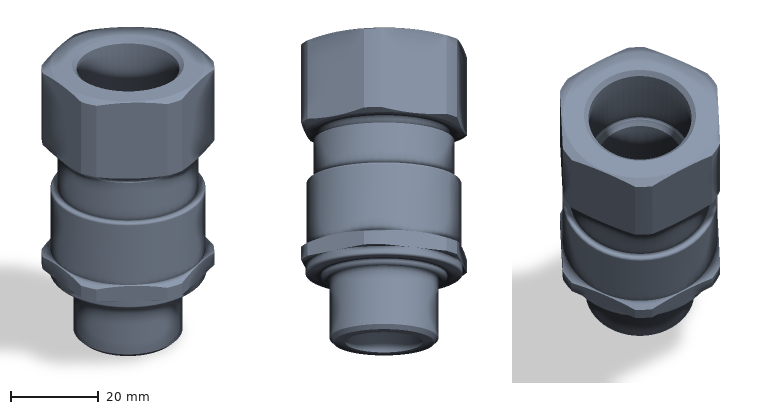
import cadquery as cq
import math

total_height = 69.75
hex_across_flats = 36.0
hex_corner_diameter = 39.5

flange_bottom = 16.0
hex_bottom = 18.0
hex_top = 22.0
barrel_top = 37.95
collar_top = 47.7
nut_bottom = 49.7

spigot_diameter = 25.0
spigot_chamfer = 1.0
flange_fillet = 0.5
barrel_diameter = 35.5
barrel_fillet = 0.5
collar_diameter = 32.2
neck_diameter = 30.2
hex_chamfer_drop = 0.85

body_bore_diameter = 17.65
bore_taper_diameter = 20.1
bore_mouth_diameter = 22.2

nut_face_diameter = 35.4
nut_chamfer_drop = 0.7
nut_bore_diameter = 23.6
nut_mouth_diameter = 25.6
neck_engagement = 3.0

ring_section_diameter = 2.0
ring_protrusion = 1.3

body_top = nut_bottom + neck_engagement
mouth_chamfer = (bore_mouth_diameter - bore_taper_diameter) / 2
nut_mouth_chamfer = (nut_mouth_diameter - nut_bore_diameter) / 2
ring_bottom = flange_bottom - ring_protrusion
ring_centre_radius = (spigot_diameter + ring_section_diameter) / 2
seat_diameter = spigot_diameter + 2 * ring_section_diameter
seat_depth = ring_section_diameter - ring_protrusion


def cylinder(diameter, bottom, top):
    """Upright cylinder on the common axis."""
    return cq.Workplane("XY").workplane(offset=bottom).circle(diameter / 2).extrude(top - bottom)


def revolved(profile):
    """Turned solid from a closed list of (radius, height) points."""
    return cq.Workplane("XZ").polyline(profile).close().revolve(360, (0, 0, 0), (0, 1, 0))


def hexagon(bottom, top):
    """Hexagonal prism with two flats facing +X and -X."""
    corner_to_corner = hex_across_flats / math.cos(math.pi / 6)
    return (
        cq.Workplane("XY")
        .workplane(offset=bottom)
        .transformed(rotate=(0, 0, 30))
        .polygon(6, corner_to_corner)
        .extrude(top - bottom)
    )


def make_nut():
    face_radius = nut_face_diameter / 2
    corner_radius = hex_corner_diameter / 2
    turned_blank = revolved([
        (0, nut_bottom),
        (face_radius, nut_bottom),
        (corner_radius, nut_bottom + nut_chamfer_drop),
        (corner_radius, total_height - nut_chamfer_drop),
        (face_radius, total_height),
        (0, total_height),
    ])
    bore = revolved([
        (0, nut_bottom),
        (nut_bore_diameter / 2, nut_bottom),
        (nut_bore_diameter / 2, total_height - nut_mouth_chamfer),
        (nut_mouth_diameter / 2, total_height),
        (0, total_height),
    ])
    neck_socket = cylinder(neck_diameter, nut_bottom, body_top)
    return hexagon(nut_bottom, total_height).intersect(turned_blank).cut(bore).cut(neck_socket)


def make_hex_flange():
    corner_radius = hex_corner_diameter / 2
    turned_blank = revolved([
        (0, hex_bottom),
        (corner_radius, hex_bottom),
        (corner_radius, hex_top - hex_chamfer_drop),
        (barrel_diameter / 2, hex_top),
        (0, hex_top),
    ])
    return hexagon(hex_bottom, hex_top).intersect(turned_blank)


def make_body():
    spigot = cylinder(spigot_diameter, 0, flange_bottom).faces("<Z").chamfer(spigot_chamfer)
    flange = cylinder(hex_across_flats, flange_bottom, hex_bottom).faces("<Z").fillet(flange_fillet)
    ring_seat = cylinder(seat_diameter, flange_bottom, flange_bottom + seat_depth).cut(
        cylinder(spigot_diameter, flange_bottom, flange_bottom + seat_depth)
    )
    barrel = cylinder(barrel_diameter, hex_top, barrel_top).faces(">Z").fillet(barrel_fillet)
    collar = cylinder(collar_diameter, barrel_top, collar_top)
    neck = cylinder(neck_diameter, collar_top, body_top)
    bore = revolved([
        (0, 0),
        (body_bore_diameter / 2, 0),
        (bore_taper_diameter / 2, body_top - mouth_chamfer),
        (bore_mouth_diameter / 2, body_top),
        (0, body_top),
    ])
    outside = spigot.union(flange.cut(ring_seat))
    for section in (make_hex_flange(), barrel, collar, neck):
        outside = outside.union(section)
    return outside.cut(bore)


def make_seal_ring():
    section_radius = ring_section_diameter / 2
    return (
        cq.Workplane("XZ")
        .center(ring_centre_radius, ring_bottom + section_radius)
        .circle(section_radius)
        .revolve(360, (-ring_centre_radius, 0, 0), (-ring_centre_radius, 1, 0))
    )


nut = make_nut()
body = make_body()
seal_ring = make_seal_ring()

result = cq.Compound.makeCompound([nut.val(), body.val(), seal_ring.val()])